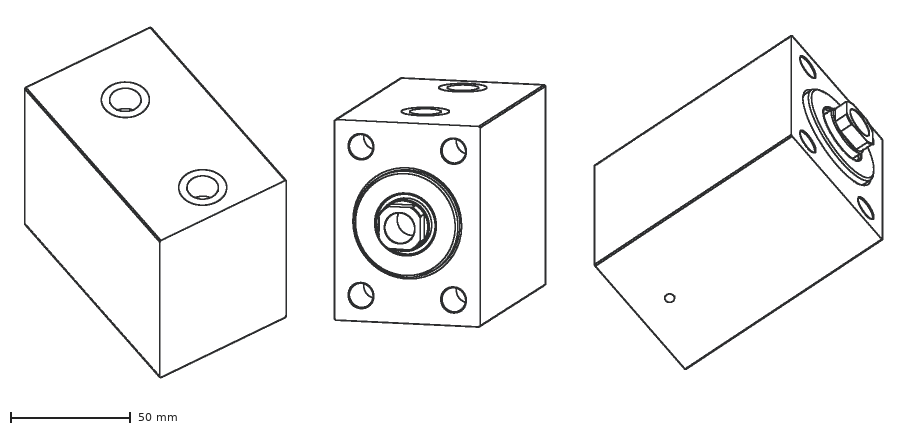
import cadquery as cq
import math


overall_length = 115.0

block_length = 103.0
block_width = 63.0
block_height = 85.0
block_edge_chamfer = 0.6

mount_spacing_y = 40.0
mount_spacing_z = 63.0
mount_hole_diameter = 10.2
mount_mouth_diameter = 11.0
mount_hole_depth = 23.0

port_first_x = 28.5
port_spacing = 59.0
spotface_diameter = 20.0
spotface_depth = 0.06
port_thread_diameter = 13.1
port_thread_depth = 12.6
oil_hole_diameter = 4.0

gland_diameter = 45.0
gland_projection = 3.0
gland_seat_depth = 16.1
gland_chamfer = 0.9
seat_chamfer = 1.0
wiper_recess_diameter = 25.5
wiper_recess_depth = 1.5
wiper_mouth_diameter = 26.6
wiper_mouth_depth = 0.5

rod_diameter = 22.0
rod_end_x = 80.5
rod_collar_chamfer_length = 0.7
rod_collar_chamfer = 0.5
rod_projection = overall_length - block_length
shank_length = 6.0
shank_diameter = 20.9
shank_chamfer = 0.3
shank_across_flats = 17.9
rod_hole_diameter = 12.9
rod_mouth_diameter = 13.2
rod_hole_depth = 19.5

drill_point_angle = 118.0


def x_cylinder(diameter, x_start, x_end):
    """Solid cylinder on the X axis."""
    return cq.Workplane("YZ", origin=(x_start, 0, 0)).circle(diameter / 2).extrude(x_end - x_start)


def x_cone(diameter_start, diameter_end, x_start, x_end):
    """Solid truncated cone on the X axis; an end diameter of zero gives a point."""
    cone = cq.Solid.makeCone(
        diameter_start / 2,
        diameter_end / 2,
        x_end - x_start,
        cq.Vector(x_start, 0, 0),
        cq.Vector(1, 0, 0),
    )
    return cq.Workplane(obj=cone)


def x_drilling(diameter, mouth_diameter, x_start, depth):
    """Blind drilled hole on the X axis with a 45 degree countersunk mouth and a conical bottom."""
    bottom_x = x_start + depth
    mouth_depth = (mouth_diameter - diameter) / 2
    point_length = diameter / 2 / math.tan(math.radians(drill_point_angle / 2))
    mouth = x_cone(mouth_diameter, diameter, x_start, x_start + mouth_depth)
    point = x_cone(diameter, 0, bottom_x, bottom_x + point_length)
    return x_cylinder(diameter, x_start, bottom_x).union(mouth).union(point)


def z_cylinder(diameter, x, z_top, z_bottom):
    """Solid cylinder along Z, in the middle of the block width."""
    return cq.Workplane("XY", origin=(x, 0, z_bottom)).circle(diameter / 2).extrude(z_top - z_bottom)


def port(x, oil_hole_bottom_z):
    """Spotfaced port with a threaded counterbore and an oil hole below it."""
    top_z = block_height / 2
    spotface = z_cylinder(spotface_diameter, x, top_z, top_z - spotface_depth)
    thread = z_cylinder(port_thread_diameter, x, top_z, top_z - port_thread_depth)
    oil_hole = z_cylinder(oil_hole_diameter, x, top_z, oil_hole_bottom_z)
    return spotface.union(thread).union(oil_hole)


def make_housing():
    block = (
        cq.Workplane("XY")
        .box(block_length, block_width, block_height, centered=(False, True, True))
        .edges("|X")
        .chamfer(block_edge_chamfer)
    )

    seat_mouth = x_cone(gland_diameter + 2 * seat_chamfer, gland_diameter, 0, seat_chamfer)
    housing = (
        block.cut(x_cylinder(gland_diameter, 0, gland_seat_depth))
        .cut(seat_mouth)
        .cut(x_cylinder(rod_diameter, 0, rod_end_x))
    )

    housing = housing.cut(port(port_first_x, 0))
    housing = housing.cut(port(port_first_x + port_spacing, -block_height / 2))

    mount_hole = x_drilling(mount_hole_diameter, mount_mouth_diameter, 0, mount_hole_depth)
    for side_y in (-1, 1):
        for side_z in (-1, 1):
            offset = (0, side_y * mount_spacing_y / 2, side_z * mount_spacing_z / 2)
            housing = housing.cut(mount_hole.translate(offset))
    return housing


def make_gland():
    front_x = -gland_projection
    ring = x_cylinder(gland_diameter, front_x, gland_seat_depth)
    ring = ring.faces("<X").chamfer(gland_chamfer)

    wiper_recess = x_cylinder(wiper_recess_diameter, front_x, front_x + wiper_recess_depth)
    wiper_mouth = x_cylinder(wiper_mouth_diameter, front_x, front_x + wiper_mouth_depth)
    rod_bore = x_cylinder(rod_diameter, front_x, gland_seat_depth)
    return ring.cut(wiper_recess).cut(wiper_mouth).cut(rod_bore)


def make_rod():
    tip_x = -rod_projection
    collar_x = tip_x + shank_length

    collar = (
        x_cylinder(rod_diameter, collar_x, rod_end_x)
        .faces("<X")
        .edges()
        .chamfer(rod_collar_chamfer_length, rod_collar_chamfer)
    )

    shank = x_cylinder(shank_diameter, tip_x, collar_x).faces("<X").chamfer(shank_chamfer)
    square = cq.Workplane("XY", origin=(tip_x, 0, 0)).box(
        shank_length, shank_across_flats, shank_across_flats, centered=(False, True, True)
    )
    shank = shank.intersect(square)

    rod_hole = x_drilling(rod_hole_diameter, rod_mouth_diameter, tip_x, rod_hole_depth)
    return collar.union(shank).cut(rod_hole)


housing = make_housing()
gland = make_gland()
rod = make_rod()

result = cq.Compound.makeCompound([housing.val(), gland.val(), rod.val()])